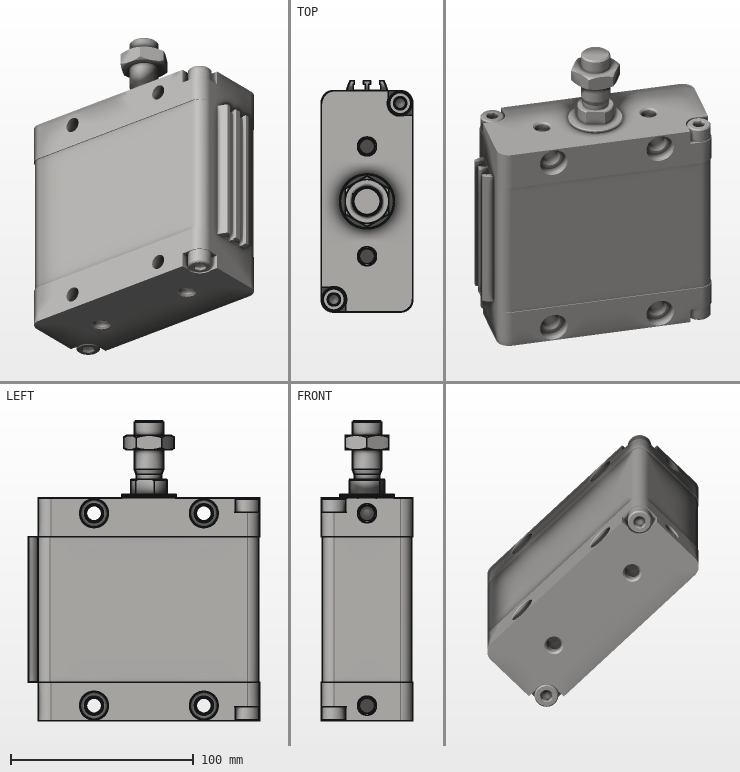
import cadquery as cq
import math


total_height = 164.0
housing_height = 121.9
cap_height = 21.2
front_cap_bottom = housing_height - cap_height

cap_width = 50.0
cap_length = 121.0
cap_corner_radius = 6.9
corner_x = cap_width / 2 - cap_corner_radius
corner_y = cap_length / 2 - cap_corner_radius

barrel_setback = 0.5
barrel_width = cap_width - 2 * barrel_setback
barrel_length = cap_length - barrel_setback
barrel_corner_radius = cap_corner_radius - barrel_setback

rail_height = 5.4
rail_lip = 2.0
rail_pad_height = 0.3
rail_foot_outer = 11.2
rail_flank_outer = 10.3
rail_top_outer = 9.2
rail_top_inner = 6.9
rail_web_inner = 7.4
centre_head_width = 4.0
centre_head_rounding = 0.5
centre_stem_width = 2.0

head_diameter = 13.0
head_height = 7.9
head_chamfer = 0.7
pocket_diameter = 14.0
pocket_wall_offset = 6.5
socket_flats = 6.0
socket_rim_diameter = 7.0
socket_rim_depth = 0.5
socket_depth = 4.0
socket_cone_depth = 1.6

thread_diameter = 8.4
thread_mouth = 10.3
hole_pitch = 60.0
cross_hole_inset = 8.4
counterbore_diameter = 15.0
counterbore_chamfer = 0.3
counterbore_depth = 6.0
end_hole_depth = 16.0
port_depth = 12.0

collar_diameter = 30.0
collar_height = 2.1
collar_chamfer = 0.5
collar_foot_diameter = 29.2
collar_rim_bottom = 1.0

rod_diameter = 20.0
rod_shoulder_z = 132.0
rod_edge_chamfer = 0.5
rod_flats = 17.0
flats_angle = -15.0
rod_thread_diameter = 16.0
rod_tip_chamfer = 0.8
neck_diameter = 14.0
neck_top_z = 134.8
neck_cone_top_z = 137.6

nut_flats = 24.0
nut_height = 8.0
nut_bottom_z = 148.1
nut_chamfer_angle = 30.0


def hexagon_diameter(flats):
    """Corner-to-corner size of a hexagon from its width across flats."""
    return flats / math.cos(math.radians(30))


def chamfered_hole(origin, direction, depth):
    """Cutter for a threaded hole with a 45-degree chamfer at its mouth."""
    chamfer_depth = (thread_mouth - thread_diameter) / 2
    mouth = cq.Plane(origin=origin, normal=direction)
    bore = cq.Workplane(mouth).circle(thread_diameter / 2).extrude(depth)
    cone = cq.Solid.makeCone(
        thread_mouth / 2, thread_diameter / 2, chamfer_depth, cq.Vector(*origin), cq.Vector(*direction)
    )
    return bore.union(cq.Workplane(cone))


def counterbore_mouth(y, z):
    """Cutter for the chamfer around a counterbore on the -X face."""
    bore_radius = counterbore_diameter / 2
    cone = cq.Solid.makeCone(
        bore_radius + counterbore_chamfer,
        bore_radius,
        counterbore_chamfer,
        cq.Vector(-cap_width / 2, y, z),
        cq.Vector(1, 0, 0),
    )
    return cq.Workplane(cone)


def screw_pocket():
    """Cutter for the corner pocket around a screw at (+X, +Y), below the top of a cap."""
    bottom = housing_height - head_height
    reach = pocket_wall_offset + 2 * cap_corner_radius
    bore = cq.Workplane().workplane(offset=bottom).circle(pocket_diameter / 2).extrude(head_height)
    along_x = cq.Workplane().box(reach, pocket_wall_offset, head_height, centered=False)
    along_y = cq.Workplane().box(pocket_wall_offset, reach, head_height, centered=False)
    open_x = along_x.translate((0, -pocket_wall_offset, bottom))
    open_y = along_y.translate((-pocket_wall_offset, 0, bottom))
    corner = cq.Workplane().box(reach, reach, head_height, centered=False).translate((0, 0, bottom))
    return bore.union(open_x).union(open_y).union(corner).translate((corner_x, corner_y, 0))


def screw_head():
    """Socket screw head standing on the floor of the pocket at (+X, +Y)."""
    head = (
        cq.Workplane()
        .workplane(offset=housing_height - head_height)
        .circle(head_diameter / 2)
        .extrude(head_height)
        .faces(">Z")
        .chamfer(head_chamfer)
    )
    socket_floor = housing_height - socket_depth
    socket = (
        cq.Workplane()
        .workplane(offset=socket_floor)
        .polygon(6, hexagon_diameter(socket_flats))
        .extrude(socket_depth)
        .rotate((0, 0, 0), (0, 0, 1), 90)
    )
    rim = cq.Solid.makeCone(
        socket_rim_diameter / 2,
        socket_flats / 2,
        socket_rim_depth,
        cq.Vector(0, 0, housing_height),
        cq.Vector(0, 0, -1),
    )
    socket = socket.union(cq.Workplane(rim))
    cone = cq.Solid.makeCone(
        socket_flats / 2, 0, socket_cone_depth, cq.Vector(0, 0, socket_floor), cq.Vector(0, 0, -1)
    )
    return head.cut(socket).cut(cq.Workplane(cone)).translate((corner_x, corner_y, 0))


def plain_cap():
    """End cap in the front position, with its holes and screws, before the rod bore."""
    cap = (
        cq.Workplane()
        .workplane(offset=front_cap_bottom)
        .rect(cap_width, cap_length)
        .extrude(cap_height)
        .edges("|Z")
        .fillet(cap_corner_radius)
    )
    cross_z = housing_height - cross_hole_inset
    for y in (-hole_pitch / 2, hole_pitch / 2):
        counterbore = (
            cq.Workplane(cq.Plane(origin=(-cap_width / 2, y, cross_z), normal=(1, 0, 0)))
            .circle(counterbore_diameter / 2)
            .extrude(counterbore_depth)
        )
        counterbore = counterbore.union(counterbore_mouth(y, cross_z))
        cross_start = (counterbore_depth - cap_width / 2, y, cross_z)
        cross_hole = chamfered_hole(cross_start, (1, 0, 0), cap_width)
        end_hole = chamfered_hole((0, y, housing_height), (0, 0, -1), end_hole_depth)
        cap = cap.cut(counterbore).cut(cross_hole).cut(end_hole)
    port = chamfered_hole((0, -cap_length / 2, cross_z), (0, 1, 0), port_depth)
    cap = cap.cut(port)
    for turn in (0, 180):
        cap = cap.cut(screw_pocket().rotate((0, 0, 0), (0, 0, 1), turn))
        cap = cap.union(screw_head().rotate((0, 0, 0), (0, 0, 1), turn))
    return cap


def make_front_cap():
    """Cap on the rod side, with the bearing collar and the rod bore."""
    collar_radius = collar_diameter / 2
    collar_top = housing_height + collar_height
    profile = [
        (0, housing_height),
        (collar_foot_diameter / 2, housing_height),
        (collar_radius, housing_height + collar_rim_bottom),
        (collar_radius, collar_top - collar_chamfer),
        (collar_radius - collar_chamfer, collar_top),
        (0, collar_top),
    ]
    collar = cq.Workplane("XZ").polyline(profile).close().revolve(360, (0, 0), (0, 1))
    bore = (
        cq.Workplane()
        .workplane(offset=front_cap_bottom)
        .circle(rod_diameter / 2)
        .extrude(cap_height + collar_height)
    )
    return plain_cap().union(collar).cut(bore)


def make_rear_cap():
    """Cap on the far side: the plain cap mirrored about the middle of the housing."""
    return plain_cap().mirror("XY", (0, 0, housing_height / 2))


def make_barrel():
    """Barrel between the caps, with the sensor rail along its +Y face."""
    barrel_height = front_cap_bottom - cap_height
    face_y = cap_length / 2
    base = cq.Workplane().workplane(offset=cap_height)
    barrel = (
        base.center(0, face_y - barrel_length / 2)
        .rect(barrel_width, barrel_length)
        .extrude(barrel_height)
        .edges("|Z")
        .fillet(barrel_corner_radius)
    )
    top_y = face_y + rail_height
    lip_y = top_y - rail_lip
    flank_y = face_y + rail_height / 2
    pad_y = face_y + rail_pad_height / 2
    pad = base.center(0, pad_y).rect(2 * rail_foot_outer, rail_pad_height).extrude(barrel_height)
    barrel = barrel.union(pad)
    for side in (-1, 1):
        outer_rail = (
            base.moveTo(side * rail_foot_outer, face_y)
            .threePointArc((side * rail_flank_outer, flank_y), (side * rail_top_outer, top_y))
            .lineTo(side * rail_top_inner, top_y)
            .lineTo(side * rail_top_inner, lip_y)
            .lineTo(side * rail_web_inner, lip_y)
            .lineTo(side * rail_web_inner, face_y)
            .close()
            .extrude(barrel_height)
        )
        barrel = barrel.union(outer_rail)
    stem = base.center(0, flank_y).rect(centre_stem_width, rail_height).extrude(barrel_height)
    head = (
        base.center(0, top_y - rail_lip / 2)
        .rect(centre_head_width, rail_lip)
        .extrude(barrel_height)
        .edges("|Z")
        .fillet(centre_head_rounding)
    )
    return barrel.union(stem).union(head)


def make_piston_rod():
    """Rod turned in one profile, with two wrench flats above the collar."""
    rod_radius = rod_diameter / 2
    neck_radius = neck_diameter / 2
    thread_radius = rod_thread_diameter / 2
    profile = [
        (0, front_cap_bottom),
        (rod_radius, front_cap_bottom),
        (rod_radius, rod_shoulder_z - rod_edge_chamfer),
        (rod_radius - rod_edge_chamfer, rod_shoulder_z),
        (neck_radius, rod_shoulder_z),
        (neck_radius, neck_top_z),
        (thread_radius, neck_cone_top_z),
        (thread_radius, total_height - rod_tip_chamfer),
        (thread_radius - rod_tip_chamfer, total_height),
        (0, total_height),
    ]
    rod = cq.Workplane("XZ").polyline(profile).close().revolve(360, (0, 0), (0, 1))
    flats_bottom = housing_height + collar_height
    flats_height = rod_shoulder_z - flats_bottom
    stock = cq.Workplane().workplane(offset=flats_bottom).rect(2 * rod_diameter, 2 * rod_diameter)
    keep = cq.Workplane().workplane(offset=flats_bottom).rect(rod_flats, 2 * rod_diameter)
    waste = stock.extrude(flats_height).cut(keep.extrude(flats_height))
    return rod.cut(waste.rotate((0, 0, 0), (0, 0, 1), flats_angle))


def make_nut():
    """Hexagon lock nut, corners along Y, with both faces chamfered."""
    corner_radius = hexagon_diameter(nut_flats) / 2
    face_radius = nut_flats / 2
    drop = (corner_radius - face_radius) * math.tan(math.radians(nut_chamfer_angle))
    nut_top_z = nut_bottom_z + nut_height
    hexagon = (
        cq.Workplane()
        .workplane(offset=nut_bottom_z)
        .polygon(6, 2 * corner_radius)
        .extrude(nut_height)
        .rotate((0, 0, 0), (0, 0, 1), 90)
    )
    envelope = [
        (rod_thread_diameter / 2, nut_bottom_z),
        (face_radius, nut_bottom_z),
        (corner_radius, nut_bottom_z + drop),
        (corner_radius, nut_top_z - drop),
        (face_radius, nut_top_z),
        (rod_thread_diameter / 2, nut_top_z),
    ]
    ring = cq.Workplane("XZ").polyline(envelope).close().revolve(360, (0, 0), (0, 1))
    return hexagon.intersect(ring)


front_cap = make_front_cap()
rear_cap = make_rear_cap()
barrel = make_barrel()
piston_rod = make_piston_rod()
nut = make_nut()

result = cq.Compound.makeCompound(
    [front_cap.val(), rear_cap.val(), barrel.val(), piston_rod.val(), nut.val()]
)